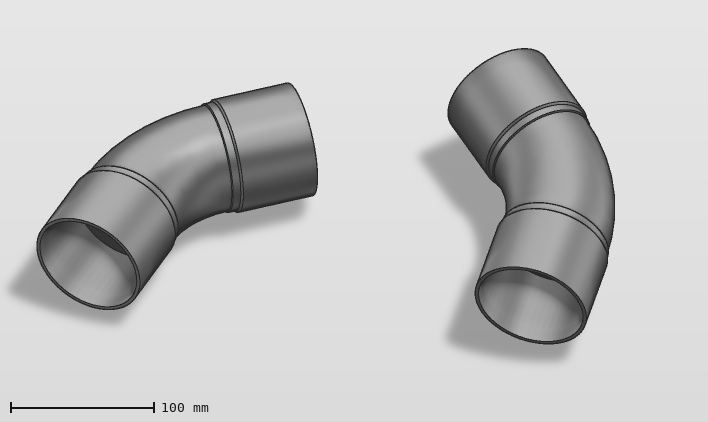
import cadquery as cq
import math

bend_angle = 45.0
bend_radius = 103.5
body_diameter = 76.0
socket_diameter = 81.0
bore_diameter = 76.0
collar_diameter = 78.0
socket_length = 54.5
shoulder_length = 1.5
collar_end = 61.5
end_length = 62.2
bore_depth = socket_length + shoulder_length


def make_socket_end():
    """Blind socket along +Y, with its open end on the XZ plane."""
    outline = [
        (0, bore_depth),
        (bore_diameter / 2, bore_depth),
        (bore_diameter / 2, 0),
        (socket_diameter / 2, 0),
        (socket_diameter / 2, socket_length),
        (collar_diameter / 2, bore_depth),
        (collar_diameter / 2, collar_end),
        (body_diameter / 2, end_length),
        (0, end_length),
    ]
    return cq.Workplane("XY").polyline(outline).close().revolve(360, (0, 0), (0, 1))


def make_bend():
    """Solid curved body, turning from +Y toward +X."""
    return (
        cq.Workplane("XZ", origin=(0, end_length, 0))
        .circle(body_diameter / 2)
        .revolve(bend_angle, (bend_radius, 2), (bend_radius, 0))
    )


first_end = make_socket_end()
bend_centre = (bend_radius, end_length, 0)
axis_end = (bend_radius, end_length, 1)
second_end = (
    first_end
    .mirror("XZ", bend_centre)
    .rotate(bend_centre, axis_end, -bend_angle)
)

result = first_end.union(make_bend()).union(second_end)